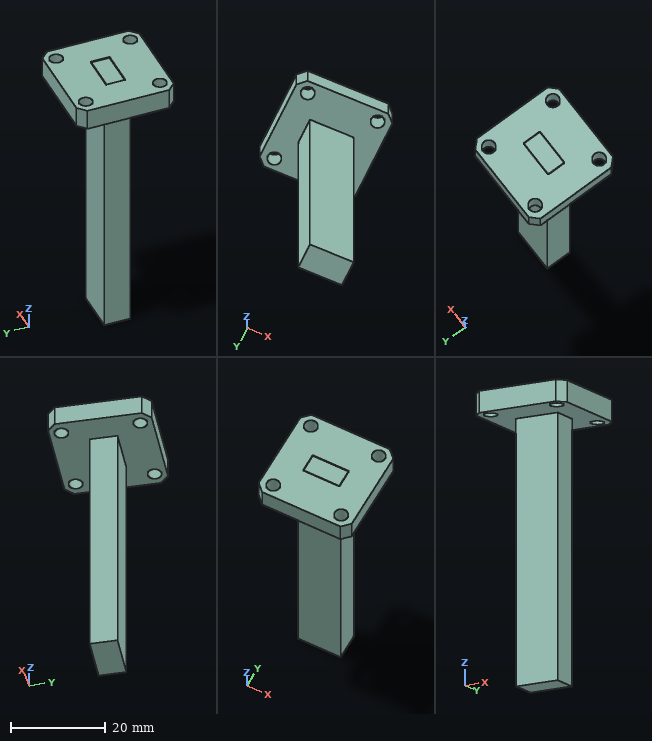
import cadquery as cq

total_height = 63.5
flange_side = 22.35
flange_thickness = 4.8
flange_corner_chamfer = 1.8

stem_width = 10.2
stem_depth = 6.05

hole_diameter = 3.0
hole_spacing_x = 16.25
hole_spacing_y = 17.0

recess_width = 8.65
recess_length = 4.3
recess_depth = 0.25

flange = (
    cq.Workplane("XY")
    .rect(flange_side, flange_side)
    .extrude(-flange_thickness)
    .edges("|Z")
    .chamfer(flange_corner_chamfer)
)

stem = cq.Workplane("XY").rect(stem_width, stem_depth).extrude(-total_height)

bolt_holes = (
    cq.Workplane("XY")
    .rect(hole_spacing_x, hole_spacing_y, forConstruction=True)
    .vertices()
    .circle(hole_diameter / 2)
    .extrude(-flange_thickness)
)

recess = cq.Workplane("XY").rect(recess_width, recess_length).extrude(-recess_depth)

result = flange.union(stem).cut(bolt_holes).cut(recess)